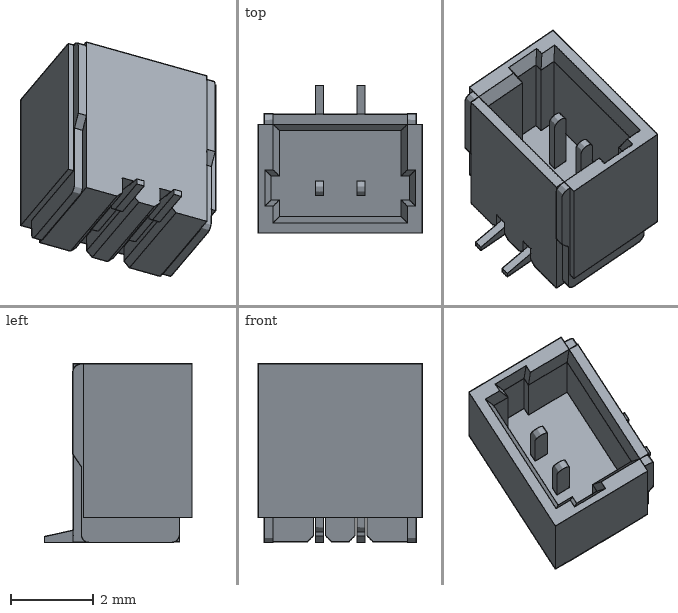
import cadquery as cq
import math


HOUSING_WIDTH = 4.0
HOUSING_DEPTH = 2.65
HOUSING_BOTTOM = 0.61
HOUSING_TOP = 4.36
BACK_PLATE_DEPTH = 2.9
STANDOFF_BOTTOM = 0.02
STANDOFF_FRONT = 0.305

CAVITY_HALF_WIDTH = 1.635
CAVITY_FRONT = 0.25
KEYWAY_HALF_WIDTH = 1.835
KEYWAY_FRONT = 0.655
KEYWAY_BACK = 1.54
LEAD_IN_INSET = 0.15
LEAD_IN_DEPTH = 0.4
CAVITY_FLOOR = 1.36

PIN_PITCH = 1.01
PIN_WIDTH = 0.2
PIN_CENTRES = (-PIN_PITCH / 2, PIN_PITCH / 2)
POST_FRONT = 0.91
POST_BACK = 1.27
POST_TOP = 3.3
BEND_RADIUS = 0.2
LEG_UNDERSIDE = 0.265
LEG_ROOT_TOP = 0.305
FOOT_FRONT = 2.2
FOOT_FRONT_BOTTOM = 0.16
HEEL = 2.39
FOOT_TIP = 3.6
FOOT_TIP_HEIGHT = 0.15

SLOT_WIDTH = 0.29
SLOT_CHAMFER = 0.15

TAB_THICKNESS = 0.22
TAB_INNER = CAVITY_HALF_WIDTH
TAB_UPPER_BACK = 2.91
TAB_LOWER_BACK = 2.7
TAB_STEP_TOP = 2.16
TAB_STEP_BOTTOM = 1.85
TAB_TOP = 4.35
TAB_FRONT = 0.31
TAB_RADIUS = 0.2

OVERLAP = 0.1


def box(x_min, x_max, y_min, y_max, z_min, z_max):
    size = (x_max - x_min, y_max - y_min, z_max - z_min)
    return cq.Workplane("XY").box(*size, centered=False).translate((x_min, y_min, z_min))


def arc_midpoint(centre, radius, degrees):
    angle = math.radians(degrees)
    return (centre[0] + radius * math.cos(angle), centre[1] + radius * math.sin(angle))


def cavity_outline(workplane, inset):
    """Closed outline of the rectangular cavity with a keyway in each end wall."""
    half = CAVITY_HALF_WIDTH - inset
    key_half = KEYWAY_HALF_WIDTH - inset
    front = CAVITY_FRONT + inset
    back = HOUSING_DEPTH - inset
    key_front = KEYWAY_FRONT + inset
    key_back = KEYWAY_BACK - inset
    right_side = [
        (half, front),
        (half, key_front),
        (key_half, key_front),
        (key_half, key_back),
        (half, key_back),
        (half, back),
    ]
    left_side = [(-x, y) for x, y in reversed(right_side)]
    return workplane.polyline(right_side + left_side).close()


def make_cavity():
    lead_in_bottom = HOUSING_TOP - LEAD_IN_DEPTH
    mouth = cavity_outline(cq.Workplane("XY").workplane(offset=HOUSING_TOP), 0)
    lead_in = cavity_outline(mouth.workplane(offset=-LEAD_IN_DEPTH), LEAD_IN_INSET).loft(ruled=True)
    floor = cq.Workplane("XY").workplane(offset=CAVITY_FLOOR)
    well = cavity_outline(floor, LEAD_IN_INSET).extrude(lead_in_bottom - CAVITY_FLOOR)
    return lead_in.union(well)


def make_leg_slot(x_centre):
    """Slot through the standoffs, flared by a chamfer at its lower edges."""
    half = SLOT_WIDTH / 2
    flared_half = half + SLOT_CHAMFER
    chamfer_top = STANDOFF_BOTTOM + SLOT_CHAMFER
    outline = [
        (x_centre - flared_half, STANDOFF_BOTTOM),
        (x_centre - half, chamfer_top),
        (x_centre - half, HOUSING_BOTTOM),
        (x_centre + half, HOUSING_BOTTOM),
        (x_centre + half, chamfer_top),
        (x_centre + flared_half, STANDOFF_BOTTOM),
    ]
    return cq.Workplane("XZ").polyline(outline).close().extrude(-BACK_PLATE_DEPTH)


def make_housing():
    half = HOUSING_WIDTH / 2
    shell = box(-half, half, 0, HOUSING_DEPTH, HOUSING_BOTTOM, HOUSING_TOP)
    back_plate = box(
        -TAB_INNER, TAB_INNER, HOUSING_DEPTH - OVERLAP, BACK_PLATE_DEPTH, STANDOFF_BOTTOM, HOUSING_TOP
    )
    standoffs = box(
        -TAB_INNER, TAB_INNER, STANDOFF_FRONT, BACK_PLATE_DEPTH, STANDOFF_BOTTOM, HOUSING_BOTTOM + OVERLAP
    )
    housing = shell.union(back_plate).union(standoffs).cut(make_cavity())
    for x_centre in PIN_CENTRES:
        housing = housing.cut(make_leg_slot(x_centre))
    return housing


def make_pin(x_centre):
    """Post with a round tip, bent back into a leg that tapers down to its tip on the board."""
    tip_radius = (POST_BACK - POST_FRONT) / 2
    tip_base = POST_TOP - tip_radius
    tip_centre = (POST_FRONT + tip_radius, tip_base)
    bend_centre = (POST_FRONT + BEND_RADIUS, LEG_UNDERSIDE + BEND_RADIUS)
    top_slope = (LEG_ROOT_TOP - FOOT_TIP_HEIGHT) / (FOOT_TIP - BACK_PLATE_DEPTH)
    post_joint_top = FOOT_TIP_HEIGHT + top_slope * (FOOT_TIP - POST_BACK)
    profile = (
        cq.Workplane("YZ")
        .moveTo(POST_FRONT, tip_base)
        .lineTo(POST_FRONT, bend_centre[1])
        .threePointArc(
            arc_midpoint(bend_centre, BEND_RADIUS, 225),
            (bend_centre[0], LEG_UNDERSIDE),
        )
        .lineTo(FOOT_FRONT, LEG_UNDERSIDE)
        .lineTo(FOOT_FRONT, FOOT_FRONT_BOTTOM)
        .lineTo(HEEL, 0)
        .lineTo(FOOT_TIP, 0)
        .lineTo(FOOT_TIP, FOOT_TIP_HEIGHT)
        .lineTo(POST_BACK, post_joint_top)
        .lineTo(POST_BACK, tip_base)
        .threePointArc(arc_midpoint(tip_centre, tip_radius, 45), (tip_centre[0], POST_TOP))
        .threePointArc(arc_midpoint(tip_centre, tip_radius, 135), (POST_FRONT, tip_base))
        .close()
    )
    return profile.extrude(PIN_WIDTH / 2, both=True).translate((x_centre, 0, 0))


def make_tab(x_min):
    """Upright solder tab: rounded corners, and a back edge that steps in below mid height."""
    outline = [
        (TAB_FRONT, 0),
        (TAB_LOWER_BACK, 0),
        (TAB_LOWER_BACK, TAB_STEP_BOTTOM),
        (TAB_UPPER_BACK, TAB_STEP_TOP),
        (TAB_UPPER_BACK, TAB_TOP),
        (HOUSING_DEPTH - OVERLAP, TAB_TOP),
        (HOUSING_DEPTH - OVERLAP, HOUSING_BOTTOM + OVERLAP),
        (TAB_FRONT, HOUSING_BOTTOM + OVERLAP),
    ]
    plate = cq.Workplane("YZ").polyline(outline).close().extrude(TAB_THICKNESS)
    plate = plate.faces("<Z").edges("|X").fillet(TAB_RADIUS)
    plate = plate.edges("|X and >Y and >Z").fillet(TAB_RADIUS)
    return plate.translate((x_min, 0, 0))


result = make_housing()
for pin_x in PIN_CENTRES:
    result = result.union(make_pin(pin_x))
for tab_x in (-TAB_INNER - TAB_THICKNESS, TAB_INNER):
    result = result.union(make_tab(tab_x))